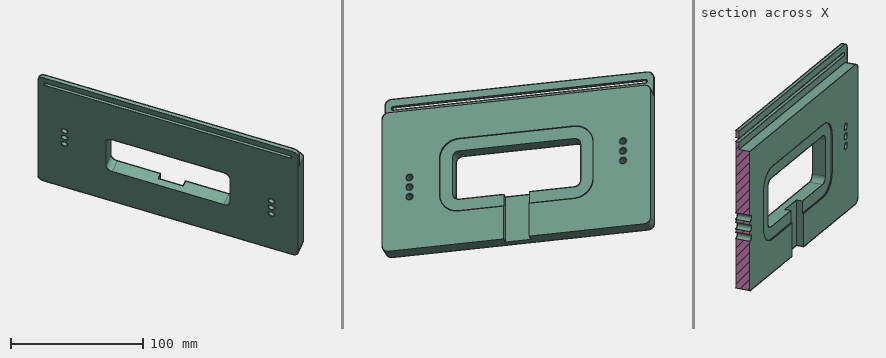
import cadquery as cq

width = 210
height = 130
depth = 12
corner_radius = 5

lip_thickness = 3
lip_height = 15
body_height = height - lip_height

window_width = 100
window_height = 40
window_radius = 5
window_center_z = body_height / 2
window_bottom = window_center_z - window_height / 2

slot_length = 200
slot_height = 3
slot_center_z = height - lip_height / 2

seat_margin = 10
seat_depth = 1

sleeve_outer_diameter = 6
sleeve_bore_diameter = 5
hole_pitch = 8
holes_per_column = 3
column_offset_x = 83.5
left_column_z = window_center_z + 5
right_column_z = window_center_z - 6

channel_width = 20
channel_depth = 6


def rounded_block(block_width, block_height, thickness, radius):
    """Block with its front on Y = 0, its bottom on Z = 0 and rounded corners."""
    return (
        cq.Workplane("XY")
        .box(block_width, thickness, block_height, centered=(True, False, False))
        .edges("|Y")
        .fillet(radius)
    )


def hole_column(x, middle_z):
    """Positions on the front face of one vertical column of holes."""
    middle_index = (holes_per_column - 1) / 2
    return [(x, middle_z + (i - middle_index) * hole_pitch) for i in range(holes_per_column)]


def make_plate():
    face_plate = rounded_block(width, height, lip_thickness, corner_radius)
    body = rounded_block(width, body_height, depth, corner_radius)
    return face_plate.union(body)


def make_window():
    window = rounded_block(window_width, window_height, depth, window_radius)
    return window.translate((0, 0, window_bottom))


def make_seat():
    seat = rounded_block(
        window_width + 2 * seat_margin,
        window_height + 2 * seat_margin,
        seat_depth,
        window_radius + seat_margin,
    )
    return seat.translate((0, depth - seat_depth, window_bottom - seat_margin))


def make_slot():
    return (
        cq.Workplane("XZ")
        .center(0, slot_center_z)
        .slot2D(slot_length, slot_height)
        .extrude(-lip_thickness)
    )


def make_channel():
    channel = cq.Workplane("XY").box(
        channel_width, channel_depth, window_center_z, centered=(True, False, False)
    )
    return channel.translate((0, depth - channel_depth, 0))


def make_hole_cylinders(diameter):
    positions = hole_column(-column_offset_x, left_column_z)
    positions += hole_column(column_offset_x, right_column_z)
    return cq.Workplane("XZ").pushPoints(positions).circle(diameter / 2).extrude(-depth)


sleeve_seats = make_hole_cylinders(sleeve_outer_diameter)
sleeves = sleeve_seats.cut(make_hole_cylinders(sleeve_bore_diameter))

plate = make_plate()
for cutter in (make_window(), make_seat(), make_slot(), make_channel(), sleeve_seats):
    plate = plate.cut(cutter)

result = plate.union(sleeves, clean=False)